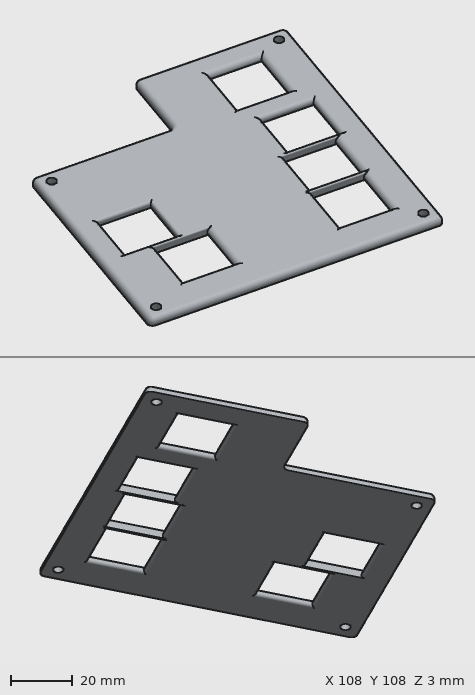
import cadquery as cq
import math

PLATE_SIZE = 108.0
PLATE_THICKNESS = 3.0
NOTCH_WIDTH = 27.0
NOTCH_DEPTH = 52.5
EDGE_RADIUS = 2.0

HOLE_DIAMETER = 3.4
HOLE_INSET = 5.0

WINDOW_SIZE = 19.15
COLUMN_PITCH = 20.0
OUTER_COLUMN_X = -35.1
FIRST_COLUMN_X = -8.0
SECOND_COLUMN_X = FIRST_COLUMN_X + COLUMN_PITCH
THIRD_COLUMN_X = SECOND_COLUMN_X + COLUMN_PITCH

FULL_LIP = 1.95
MEDIUM_LIP = 1.5
SMALL_LIP = 1.0
RIB_LIP = 0.5
NO_LIP = 0.0

UNDERSIDE_LIP = 1.0

WINDOWS = [
    (OUTER_COLUMN_X, 30.6, FULL_LIP, FULL_LIP, FULL_LIP, FULL_LIP),
    (FIRST_COLUMN_X, 35.05, MEDIUM_LIP, NO_LIP, FULL_LIP, MEDIUM_LIP),
    (SECOND_COLUMN_X, 32.35, RIB_LIP, NO_LIP, FULL_LIP, FULL_LIP),
    (THIRD_COLUMN_X, 31.9, RIB_LIP, FULL_LIP, FULL_LIP, FULL_LIP),
    (SECOND_COLUMN_X, -35.45, SMALL_LIP, NO_LIP, FULL_LIP, SMALL_LIP),
    (THIRD_COLUMN_X, -25.55, RIB_LIP, FULL_LIP, FULL_LIP, FULL_LIP),
]


def make_plate():
    half = PLATE_SIZE / 2
    notch_x = -half + NOTCH_WIDTH
    notch_y = -half + NOTCH_DEPTH
    outline = [
        (-half, half),
        (half, half),
        (half, -half),
        (notch_x, -half),
        (notch_x, notch_y),
        (-half, notch_y),
    ]
    plate = cq.Workplane("XY").polyline(outline).close().extrude(PLATE_THICKNESS)
    return plate.edges("|Z").fillet(EDGE_RADIUS).faces(">Z").edges().fillet(EDGE_RADIUS)


def drill_holes(plate):
    reach = PLATE_SIZE / 2 - HOLE_INSET
    centres = [
        (-reach, reach),
        (reach, reach),
        (reach, -reach),
        (-reach + NOTCH_WIDTH, -reach),
    ]
    holes = cq.Workplane("XY").pushPoints(centres).circle(HOLE_DIAMETER / 2).extrude(PLATE_THICKNESS)
    return plate.cut(holes)


def edge_flare(plane, edge, outward, face_z, inward_z, radius):
    """Long prism of the material removed when one window edge is rounded."""
    arc_gap = radius * (1 - math.sqrt(0.5))
    return (
        cq.Workplane(plane)
        .moveTo(edge, face_z)
        .lineTo(edge + outward * radius, face_z)
        .threePointArc(
            (edge + outward * arc_gap, face_z + inward_z * arc_gap),
            (edge, face_z + inward_z * radius),
        )
        .close()
        .extrude(PLATE_SIZE, both=True)
    )


def flared_prism(plane, centre, low_lip, high_lip):
    """Long prism, symmetric about the plane, whose two sides flare out around the rounded edges."""
    prism = (
        cq.Workplane(plane)
        .center(centre, PLATE_THICKNESS / 2)
        .rect(WINDOW_SIZE, PLATE_THICKNESS)
        .extrude(PLATE_SIZE, both=True)
    )
    for outward, lip in ((-1, low_lip), (1, high_lip)):
        edge = centre + outward * WINDOW_SIZE / 2
        if lip > 0:
            prism = prism.union(edge_flare(plane, edge, outward, PLATE_THICKNESS, -1, lip))
        if lip >= UNDERSIDE_LIP:
            prism = prism.union(edge_flare(plane, edge, outward, 0, 1, UNDERSIDE_LIP))
    return prism


def window_cutter(x, y, left_lip, right_lip, lower_lip, upper_lip):
    """Void common to a prism shaped across X and a prism shaped across Y."""
    across_x = flared_prism("XZ", x, left_lip, right_lip)
    across_y = flared_prism("YZ", y, lower_lip, upper_lip)
    return across_x.intersect(across_y)


part = drill_holes(make_plate())
for window in WINDOWS:
    part = part.cut(window_cutter(*window))
result = part.solids()